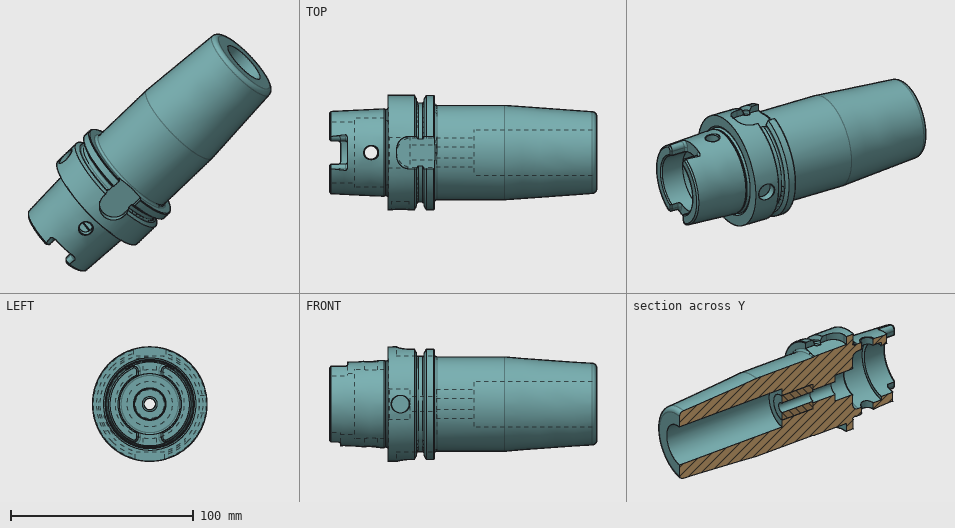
import cadquery as cq
import math

TOTAL_LENGTH = 146.9

TAPER_START_RADIUS = 22.6
TAPER_END_X = 30.0
TAPER_END_RADIUS = 24.1
RIM_CHAMFER = 0.9
RELIEF_RADIUS = 23.7
RELIEF_START_X = 30.7
RELIEF_END_X = 31.1
FACE_RELIEF_DEPTH = 0.5
FACE_RELIEF_BOTTOM_RADIUS = 24.5
FACE_RELIEF_RADIUS = 25.4

FLANGE_X = 32.0
FLANGE_END_X = 57.6
FLANGE_DIAMETER = 63.0
FLANGE_RADIUS = FLANGE_DIAMETER / 2
FLANGE_END_CHAMFER = 0.5
GROOVE_START_X = 47.9
GROOVE_END_X = 51.9
GROOVE_RADIUS = 27.3
GROOVE_FILLET = 0.9
GROOVE_FLANK_WIDTH = 1.3
GROOVE_FLANK_HEIGHT = GROOVE_FLANK_WIDTH * math.tan(math.radians(60))

BODY_RADIUS = 26.0
NECK_FILLET = 1.3
NOSE_TAPER_X = 96.2
NOSE_END_RADIUS = 22.3
NOSE_FILLET = 2.8

TOP_NOTCH_DEPTH = 10.0
BOTTOM_NOTCH_DEPTH = 6.0
NOTCH_HALF_WIDTH = 6.3
NOTCH_SHOULDER_Z = 20.9
NOTCH_SHOULDER_RADIUS = 2.6
NOTCH_FLOOR_FILLET = 1.3
NOTCH_REACH_Y = TAPER_END_RADIUS
NOTCH_REACH_Z = FLANGE_RADIUS
EDGE_MARGIN = 0.1

SLOT_START_X = 36.9
SLOT_FLOOR_Z = 26.3
TOP_SLOT_HALF_WIDTH = 9.0
TOP_SLOT_CORNER_RADIUS = 7.0
BOTTOM_SLOT_HALF_WIDTH = 8.1

CROSS_HOLE_X = 22.8
CROSS_HOLE_RADIUS = 3.7
CROSS_HOLE_RIM_RADIUS = 4.3
CHIP_HOLE_X = 39.0
CHIP_HOLE_RADIUS = 4.8
CHIP_HOLE_RIM_RADIUS = 5.1
CHIP_HOLE_DEPTH = 4.5

MOUTH_RADIUS = 16.7
MOUTH_CHAMFER = 0.7
MOUTH_END_X = 13.7
CAVITY_RADIUS = 19.0
CAVITY_FLOOR_X = 32.3
CAVITY_FLOOR_FILLET = 3.2
TUBE_BORE_RADIUS = 8.4
TUBE_BORE_END_X = 44.0
TUBE_BORE_CHAMFER = 0.6
PASSAGE_RADIUS = 4.1
SCREW_X = 58.8
SCREW_LENGTH = 20.5
SCREW_RADIUS = 8.0
SCREW_BORE_RADIUS = 3.1
TOOL_BORE_RADIUS = 12.5


def revolve_about_x(profile):
    """Revolve a closed (X, radius) profile around the X axis."""
    return profile.close().revolve(360, (0, 0, 0), (1, 0, 0))


def taper_radius(x):
    """Outside radius of the taper shank at the given X."""
    return TAPER_START_RADIUS + (TAPER_END_RADIUS - TAPER_START_RADIUS) * x / TAPER_END_X


def make_blank():
    """Solid outside shape: shank, flange with its gripper groove, body and nose."""
    flank_radius = FLANGE_RADIUS - GROOVE_FLANK_HEIGHT
    groove_fillet_radius = GROOVE_RADIUS + GROOVE_FILLET
    profile = (
        cq.Workplane("XY")
        .lineTo(0, taper_radius(RIM_CHAMFER) - RIM_CHAMFER)
        .lineTo(RIM_CHAMFER, taper_radius(RIM_CHAMFER))
        .lineTo(TAPER_END_X, TAPER_END_RADIUS)
        .lineTo(RELIEF_START_X, RELIEF_RADIUS)
        .lineTo(RELIEF_END_X, RELIEF_RADIUS)
        .lineTo(FLANGE_X + FACE_RELIEF_DEPTH, FACE_RELIEF_BOTTOM_RADIUS)
        .lineTo(FLANGE_X, FACE_RELIEF_RADIUS)
        .lineTo(FLANGE_X, FLANGE_RADIUS)
        .lineTo(GROOVE_START_X - GROOVE_FLANK_WIDTH, FLANGE_RADIUS)
        .lineTo(GROOVE_START_X, flank_radius)
        .lineTo(GROOVE_START_X, groove_fillet_radius)
        .radiusArc((GROOVE_START_X + GROOVE_FILLET, GROOVE_RADIUS), -GROOVE_FILLET)
        .lineTo(GROOVE_END_X - GROOVE_FILLET, GROOVE_RADIUS)
        .radiusArc((GROOVE_END_X, groove_fillet_radius), -GROOVE_FILLET)
        .lineTo(GROOVE_END_X, flank_radius)
        .lineTo(GROOVE_END_X + GROOVE_FLANK_WIDTH, FLANGE_RADIUS)
        .lineTo(FLANGE_END_X - FLANGE_END_CHAMFER, FLANGE_RADIUS)
        .lineTo(FLANGE_END_X, FLANGE_RADIUS - FLANGE_END_CHAMFER)
        .lineTo(FLANGE_END_X, BODY_RADIUS + NECK_FILLET)
        .radiusArc((FLANGE_END_X + NECK_FILLET, BODY_RADIUS), -NECK_FILLET)
        .lineTo(NOSE_TAPER_X, BODY_RADIUS)
        .lineTo(TOTAL_LENGTH, NOSE_END_RADIUS)
        .lineTo(TOTAL_LENGTH, 0)
    )
    return revolve_about_x(profile).faces(">X").edges().fillet(NOSE_FILLET)


def make_interior():
    """Clamping cavity, coolant tube bore, passage, screw seat and tool bore as one cutter."""
    tube_rim_radius = TUBE_BORE_RADIUS + TUBE_BORE_CHAMFER
    screw_end_x = SCREW_X + SCREW_LENGTH
    profile = (
        cq.Workplane("XY")
        .lineTo(0, MOUTH_RADIUS + MOUTH_CHAMFER)
        .lineTo(MOUTH_CHAMFER, MOUTH_RADIUS)
        .lineTo(MOUTH_END_X, MOUTH_RADIUS)
        .lineTo(MOUTH_END_X, CAVITY_RADIUS)
        .lineTo(CAVITY_FLOOR_X - CAVITY_FLOOR_FILLET, CAVITY_RADIUS)
        .radiusArc((CAVITY_FLOOR_X, CAVITY_RADIUS - CAVITY_FLOOR_FILLET), CAVITY_FLOOR_FILLET)
        .lineTo(CAVITY_FLOOR_X, tube_rim_radius)
        .lineTo(CAVITY_FLOOR_X + TUBE_BORE_CHAMFER, TUBE_BORE_RADIUS)
        .lineTo(TUBE_BORE_END_X, TUBE_BORE_RADIUS)
        .lineTo(TUBE_BORE_END_X, PASSAGE_RADIUS)
        .lineTo(SCREW_X, PASSAGE_RADIUS)
        .lineTo(SCREW_X, SCREW_RADIUS)
        .lineTo(screw_end_x, SCREW_RADIUS)
        .lineTo(screw_end_x, TOOL_BORE_RADIUS)
        .lineTo(TOTAL_LENGTH, TOOL_BORE_RADIUS)
        .lineTo(TOTAL_LENGTH, 0)
    )
    return revolve_about_x(profile)


def notch_outline(x, growth):
    """Notch cross-section at the given X, grown outwards by an offset."""
    half_width = NOTCH_HALF_WIDTH + growth
    shoulder_radius = NOTCH_SHOULDER_RADIUS - growth
    shoulder_y = half_width + shoulder_radius
    shoulder_z = NOTCH_SHOULDER_Z - growth
    shoulder_start_z = shoulder_z - shoulder_radius
    return (
        cq.Workplane("YZ", origin=(x, 0, 0))
        .moveTo(-half_width, 0)
        .lineTo(half_width, 0)
        .lineTo(half_width, shoulder_start_z)
        .radiusArc((shoulder_y, shoulder_z), shoulder_radius)
        .lineTo(NOTCH_REACH_Y, shoulder_z)
        .lineTo(NOTCH_REACH_Y, NOTCH_REACH_Z)
        .lineTo(-NOTCH_REACH_Y, NOTCH_REACH_Z)
        .lineTo(-NOTCH_REACH_Y, shoulder_z)
        .lineTo(-shoulder_y, shoulder_z)
        .radiusArc((-half_width, shoulder_start_z), shoulder_radius)
        .close()
    )


def make_notch(depth):
    """Cutter for a drive notch on the +Z side, with a flared mouth and rounded floor edges."""
    side_floor_edges = cq.selectors.BoxSelector(
        (depth - EDGE_MARGIN, -NOTCH_REACH_Y - EDGE_MARGIN, EDGE_MARGIN),
        (depth + EDGE_MARGIN, NOTCH_REACH_Y + EDGE_MARGIN, NOTCH_SHOULDER_Z + EDGE_MARGIN),
    )
    notch = notch_outline(0, 0).extrude(depth).edges(side_floor_edges).fillet(NOTCH_FLOOR_FILLET)
    mouth_wires = [
        notch_outline(0, RIM_CHAMFER).val(),
        notch_outline(RIM_CHAMFER, 0).val(),
    ]
    mouth = cq.Workplane(cq.Solid.makeLoft(mouth_wires, True))
    return notch.union(mouth)


def make_key_slot(half_width, corner_radius):
    """Cutter for a flange key slot on the +Z side, open towards the nose."""
    corner_x = SLOT_START_X + corner_radius
    corner_y = half_width - corner_radius
    end_x = FLANGE_END_X + NECK_FILLET
    outline = (
        cq.Workplane("XY", origin=(0, 0, SLOT_FLOOR_Z))
        .moveTo(end_x, -half_width)
        .lineTo(end_x, half_width)
        .lineTo(corner_x, half_width)
        .radiusArc((SLOT_START_X, corner_y), -corner_radius)
    )
    if corner_y > 0:
        outline = outline.lineTo(SLOT_START_X, -corner_y)
    outline = outline.radiusArc((corner_x, -half_width), -corner_radius)
    return outline.close().extrude(FLANGE_RADIUS)


def flip_to_bottom(cutter):
    """Turn a cutter from the +Z side to the -Z side."""
    return cutter.rotate((0, 0, 0), (1, 0, 0), 180)


def make_countersunk_hole(x, floor_z, wall_radius, hole_radius, rim_radius):
    """Cutter for a round hole on the +Z side, from its floor out through a chamfered rim."""
    chamfer = rim_radius - hole_radius
    profile = (
        cq.Workplane("XZ", origin=(x, 0, 0))
        .moveTo(0, floor_z)
        .lineTo(hole_radius, floor_z)
        .lineTo(hole_radius, wall_radius - chamfer)
        .lineTo(rim_radius, wall_radius)
        .lineTo(rim_radius, FLANGE_RADIUS + chamfer)
        .lineTo(0, FLANGE_RADIUS + chamfer)
        .close()
    )
    return profile.revolve(360, (0, 0, 0), (0, 1, 0))


def make_cross_hole():
    """Cutter for one hole through the +Z wall of the shank."""
    wall_radius = taper_radius(CROSS_HOLE_X)
    return make_countersunk_hole(CROSS_HOLE_X, 0, wall_radius, CROSS_HOLE_RADIUS, CROSS_HOLE_RIM_RADIUS)


def make_chip_hole():
    """Cutter for the blind data chip hole on the -Y side of the flange."""
    floor_z = FLANGE_RADIUS - CHIP_HOLE_DEPTH
    hole = make_countersunk_hole(CHIP_HOLE_X, floor_z, FLANGE_RADIUS, CHIP_HOLE_RADIUS, CHIP_HOLE_RIM_RADIUS)
    return hole.rotate((0, 0, 0), (1, 0, 0), 90)


def make_holder():
    """Tool holder with all its recesses."""
    holder = make_blank().cut(make_interior())
    holder = holder.cut(make_notch(TOP_NOTCH_DEPTH))
    holder = holder.cut(flip_to_bottom(make_notch(BOTTOM_NOTCH_DEPTH)))
    holder = holder.cut(make_key_slot(TOP_SLOT_HALF_WIDTH, TOP_SLOT_CORNER_RADIUS))
    bottom_slot = make_key_slot(BOTTOM_SLOT_HALF_WIDTH, BOTTOM_SLOT_HALF_WIDTH)
    holder = holder.cut(flip_to_bottom(bottom_slot))
    cross_hole = make_cross_hole()
    for cutter in (cross_hole, flip_to_bottom(cross_hole), make_chip_hole()):
        holder = holder.cut(cutter)
    return holder


def make_stop_screw():
    """Drilled stop screw seated against the coolant passage."""
    return (
        cq.Workplane("YZ", origin=(SCREW_X, 0, 0))
        .circle(SCREW_RADIUS)
        .circle(SCREW_BORE_RADIUS)
        .extrude(SCREW_LENGTH)
    )


holder = make_holder()
stop_screw = make_stop_screw()
result = cq.Compound.makeCompound([holder.val(), stop_screw.val()])